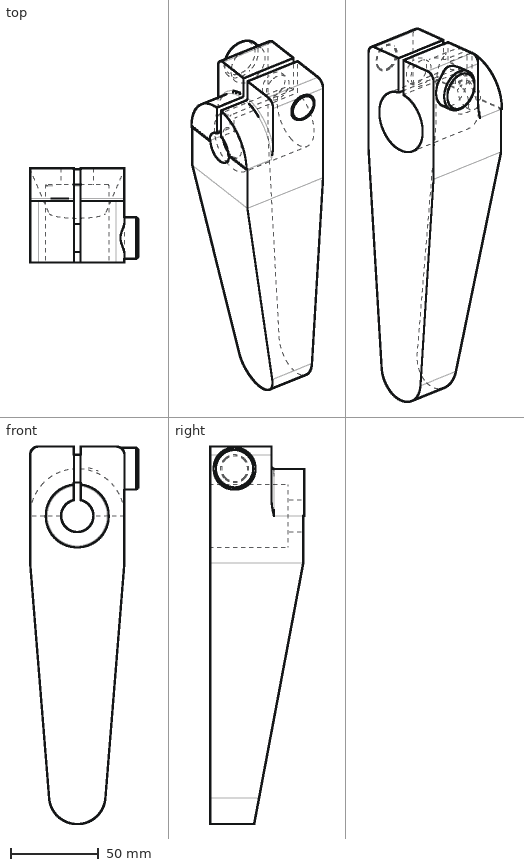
import cadquery as cq
import math

length = 215.7
width = 54.0
head_depth = 35.2
body_depth = 53.3
taper_start_z = -66.7
tip_radius = 16.2
tip_depth = 25.2
corner_radius = 5.0

bore_z = -39.7
hub_depth = 54.0
hub_fillet = 1.3
bore_diameter = 36.0
small_bore_diameter = 18.3
floor_thickness = 9.3
floor_fillet = 0.9
slot_width = 3.9

screw_y = 14.0
screw_z = -12.7
shank_diameter = 16.0
screw_head_diameter = 24.0
screw_head_end = 35.0
screw_head_chamfer = 1.3
shank_end_chamfer = 0.6

half_width = width / 2


def lever_outline():
    """Front outline: rectangle, then flanks tangent to the round tip."""
    center_z = -length + tip_radius
    rise = taper_start_z - center_z
    distance = math.hypot(half_width, rise)
    angle = math.atan2(rise, half_width) - math.acos(tip_radius / distance)
    tangent_x = tip_radius * math.cos(angle)
    tangent_z = center_z + tip_radius * math.sin(angle)
    return (
        cq.Workplane("XZ")
        .moveTo(-half_width, 0)
        .lineTo(half_width, 0)
        .lineTo(half_width, taper_start_z)
        .lineTo(tangent_x, tangent_z)
        .threePointArc((0, -length), (-tangent_x, tangent_z))
        .lineTo(-half_width, taper_start_z)
        .close()
    )


def lever_body():
    profile = (
        cq.Workplane("YZ")
        .polyline([
            (0, 0),
            (head_depth, 0),
            (head_depth, bore_z),
            (body_depth, bore_z),
            (body_depth, taper_start_z),
            (tip_depth, -length),
            (0, -length),
        ])
        .close()
        .extrude(half_width, both=True)
    )
    body = lever_outline().extrude(-hub_depth).intersect(profile)
    return body.edges("|Y and >Z").fillet(corner_radius)


def hub():
    """Half-round hub above the bore axis, flared where it meets the clamp head."""
    flare_middle = hub_fillet * (1 - math.sqrt(0.5))
    flared_disc = (
        cq.Workplane("XY")
        .moveTo(0, head_depth)
        .lineTo(half_width + hub_fillet, head_depth)
        .threePointArc(
            (half_width + flare_middle, head_depth + flare_middle),
            (half_width, head_depth + hub_fillet),
        )
        .lineTo(half_width, hub_depth)
        .lineTo(0, hub_depth)
        .close()
        .revolve(360, (0, 0, 0), (0, 1, 0))
        .translate((0, 0, bore_z))
    )
    upper_half = cq.Workplane("XY", origin=(0, 0, bore_z)).box(
        width, 2 * hub_depth, length, centered=(True, True, False)
    )
    return flared_disc.intersect(upper_half)


def stepped_bore():
    front = cq.Workplane("XZ", origin=(0, 0, bore_z))
    large = front.circle(bore_diameter / 2).extrude(-(hub_depth - floor_thickness))
    large = large.faces(">Y").edges().fillet(floor_fillet)
    return large.union(front.circle(small_bore_diameter / 2).extrude(-hub_depth))


def clamp_slot():
    return cq.Workplane("XY", origin=(0, 0, bore_z)).box(
        slot_width, hub_depth, -bore_z, centered=(True, False, False)
    )


def clamp_screw():
    shank_end = cq.Workplane("YZ", origin=(-half_width, screw_y, screw_z))
    shank = shank_end.circle(shank_diameter / 2).extrude(width)
    head = (
        cq.Workplane("YZ", origin=(0, screw_y, screw_z))
        .workplane(offset=half_width - corner_radius)
        .circle(screw_head_diameter / 2)
        .extrude(screw_head_end - half_width + corner_radius)
        .faces(">X")
        .chamfer(screw_head_chamfer)
    )
    return shank.faces("<X").chamfer(shank_end_chamfer).union(head)


def screw_hole():
    return (
        cq.Workplane("YZ", origin=(-half_width, screw_y, screw_z))
        .circle(shank_diameter / 2)
        .extrude(width)
    )


lever = lever_body().union(hub()).cut(stepped_bore()).cut(clamp_slot())
result = lever.cut(screw_hole()).union(clamp_screw())